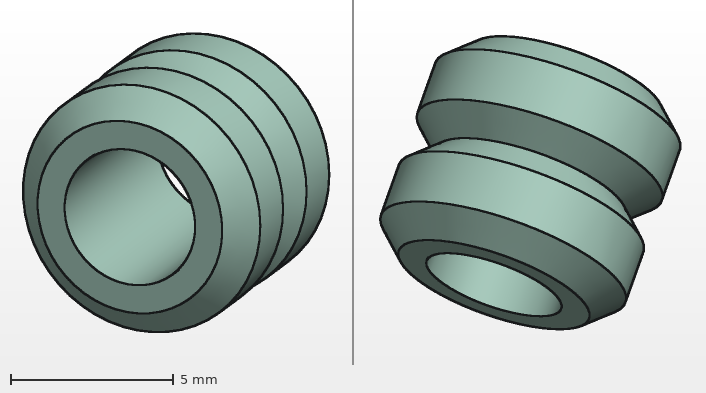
import cadquery as cq

outer_diameter = 8.0
bore_diameter = 4.4
length = 7.0
bevel = 0.89

outer_radius = outer_diameter / 2
bore_radius = bore_diameter / 2
bevelled_radius = outer_radius - bevel
half_length = length / 2

section = [
    (bore_radius, -half_length),
    (bevelled_radius, -half_length),
    (outer_radius, -half_length + bevel),
    (outer_radius, -bevel),
    (bevelled_radius, 0),
    (outer_radius, bevel),
    (outer_radius, half_length - bevel),
    (bevelled_radius, half_length),
    (bore_radius, half_length),
]

result = cq.Workplane("XY").polyline(section).close().revolve(360, (0, 0, 0), (0, 1, 0))